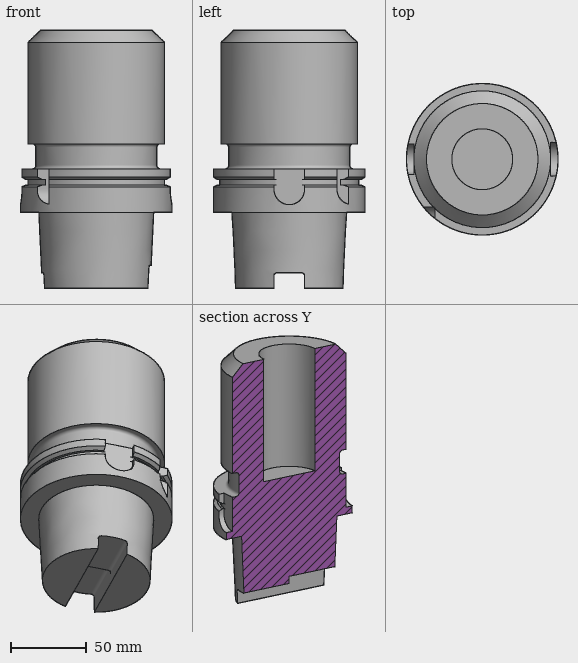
import cadquery as cq

total_height = 170.0
flange_bottom = 50.0
flange_top = 78.7
body_bottom = 95.0

flange_radius = 50.0
body_radius = 45.0
neck_radius = 40.0
taper_small_radius = 35.5
taper_large_radius = 37.9
neck_blend = 2.2

bevel_width = 8.3
bevel_height = 8.0

groove_radius = 45.9
groove_lower_edge = 66.8
groove_upper_edge = 73.3
groove_ledge_radius = 47.5
lower_flank_height = 1.2
upper_flank_height = 1.7

bore_radius = 20.0
bore_depth = 85.0

slot_bottom = 55.0
slot_radius = 10.0
wide_slot_radius = 11.0
slot_floor_offset = body_radius
notch_floor_x = -31.3
notch_inner_y = -31.5

keyway_width = 2 * slot_radius
left_keyway_height = 10.2
right_keyway_height = 15.1
keyway_corner_radius = 2.0


def revolved_body():
    """Taper, grooved flange, blended neck and bevelled body."""
    return (
        cq.Workplane("XZ")
        .lineTo(taper_small_radius, 0)
        .lineTo(taper_large_radius, flange_bottom)
        .lineTo(flange_radius, flange_bottom)
        .lineTo(flange_radius, groove_lower_edge)
        .lineTo(groove_ledge_radius, groove_lower_edge + lower_flank_height)
        .lineTo(groove_radius, groove_lower_edge + lower_flank_height)
        .lineTo(groove_radius, groove_upper_edge - upper_flank_height)
        .lineTo(groove_ledge_radius, groove_upper_edge - upper_flank_height)
        .lineTo(flange_radius, groove_upper_edge)
        .lineTo(flange_radius, flange_top)
        .lineTo(neck_radius + neck_blend, flange_top)
        .radiusArc((neck_radius, flange_top + neck_blend), neck_blend)
        .lineTo(neck_radius, body_bottom - neck_blend)
        .radiusArc((neck_radius + neck_blend, body_bottom), neck_blend)
        .lineTo(body_radius, body_bottom)
        .lineTo(body_radius, total_height - bevel_height)
        .lineTo(body_radius - bevel_width, total_height)
        .lineTo(0, total_height)
        .close()
        .revolve(360, (0, 0, 0), (0, 1, 0))
    )


def flange_slot(center_y, floor_x, radius):
    """Cutter running outward along X from floor_x, open at the flange top."""
    outward = 1 if floor_x > 0 else -1
    center_z = slot_bottom + radius
    return (
        cq.Workplane("YZ", origin=(floor_x, center_y, 0))
        .moveTo(-radius, flange_top)
        .lineTo(-radius, center_z)
        .threePointArc((0, slot_bottom), (radius, center_z))
        .lineTo(radius, flange_top)
        .close()
        .extrude(outward * flange_radius)
    )


def keyway(side, height):
    """Cutter from the axis outward, with side -1 or +1 along X."""
    return (
        cq.Workplane("XY")
        .box(flange_radius, keyway_width, height, centered=(False, True, False))
        .edges("|X and >Z")
        .fillet(keyway_corner_radius)
        .translate((0 if side > 0 else -flange_radius, 0, 0))
    )


bore = (
    cq.Workplane("XY", origin=(0, 0, total_height - bore_depth))
    .circle(bore_radius)
    .extrude(bore_depth)
)

cutters = [
    bore,
    flange_slot(0, -slot_floor_offset, slot_radius),
    flange_slot(0, slot_floor_offset, wide_slot_radius),
    flange_slot(notch_inner_y - slot_radius, notch_floor_x, slot_radius),
    keyway(-1, left_keyway_height),
    keyway(1, right_keyway_height),
]

result = revolved_body()
for cutter in cutters:
    result = result.cut(cutter)